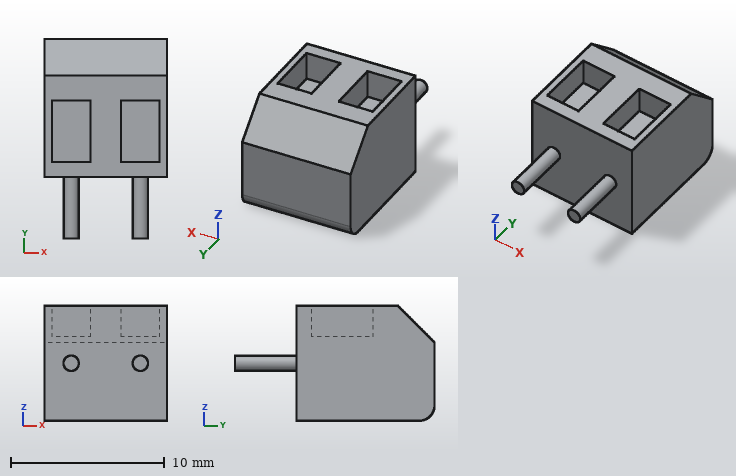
import cadquery as cq

width = 8.0
depth = 9.0
height = 7.5
chamfer_size = 2.4
fillet_radius = 1.0

contact_pitch = 4.5
contact_count = 2

pin_diameter = 1.0
pin_length = 4.0

pocket_width = 2.5
pocket_length = 4.0
pocket_depth = 2.0
pocket_front_wall = 1.0

contact_positions = [
    (index - (contact_count - 1) / 2) * contact_pitch for index in range(contact_count)
]


def make_housing():
    """Block centred on X, with its -Y face at Y = 0 and its base at Z = 0."""
    block = cq.Workplane("XY").box(width, depth, height, centered=(True, False, False))
    block = block.edges(">Y and >Z").chamfer(chamfer_size)
    return block.edges(">Y and <Z").fillet(fillet_radius)


def make_pin(x):
    """Pin pointing toward -Y from the front face."""
    return (
        cq.Workplane("XZ")
        .center(x, height / 2)
        .circle(pin_diameter / 2)
        .extrude(pin_length)
    )


def make_pocket(x):
    """Volume removed from the top face above one contact."""
    return (
        cq.Workplane("XY")
        .box(pocket_width, pocket_length, pocket_depth, centered=(True, False, False))
        .translate((x, pocket_front_wall, height - pocket_depth))
    )


result = make_housing()
for contact_x in contact_positions:
    result = result.cut(make_pocket(contact_x)).union(make_pin(contact_x))